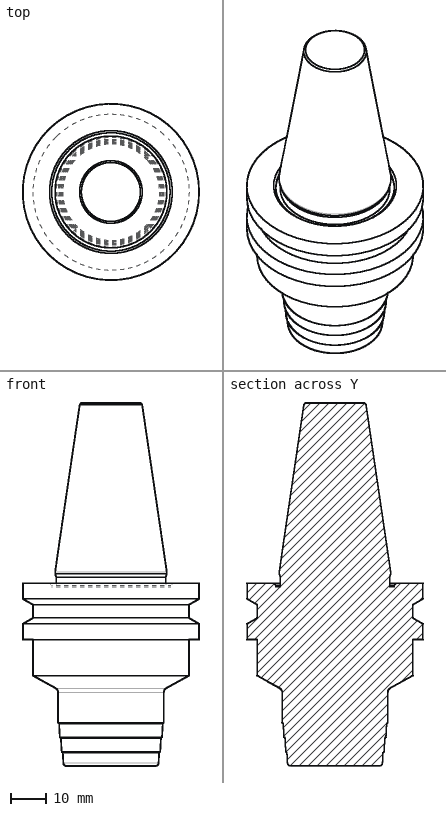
import cadquery as cq
import math

total_height = 102.8
flange_bottom = 35.8
flange_top = 51.8
gauge_height = 54.4
collar_bottom = 21.7
shoulder_bottom = 25.6

gauge_radius = 15.8
gauge_band = 0.6
taper_slope = 7 / 48
tip_chamfer = 0.5
neck_radius = 15.5
neck_top = 53.5

flange_radius = 25.0
groove_root_radius = 22.1
groove_center = (flange_bottom + flange_top) / 2
groove_root_half_width = 1.9
groove_side_angle = 30
groove_side_height = (flange_radius - groove_root_radius) * math.tan(math.radians(groove_side_angle))
groove_mouth_half_width = groove_root_half_width + groove_side_height

relief_radius = 16.8
relief_depth = 1.0
relief_chamfer = 0.6

shoulder_radius = 22.1
nose_radius = 15.0
nose_fillet = 1.2
ring_height = 4.1
ring_count = 3
ring_step = 0.3
ring_taper = 0.2
nose_edge_radius = 1.0


def nose_points():
    """Outer profile of the nose rings, from the bottom edge upward."""
    points = []
    for ring in range(ring_count):
        top_radius = nose_radius - ring_step - ring * (ring_step + ring_taper)
        top = (ring_count - ring) * ring_height - ring_step
        bottom = top + ring_step - ring_height
        points.append((top_radius + ring_step, top + ring_step))
        points.append((top_radius, top))
    bottom_radius = top_radius - ring_taper
    points.append((bottom_radius, bottom))
    return points[::-1]


def make_body():
    """Revolve the whole holder about Z."""
    tip_radius = gauge_radius - taper_slope * (total_height - gauge_height - gauge_band)
    profile = [
        (0, 0),
        *nose_points(),
        (nose_radius, collar_bottom),
        (shoulder_radius, shoulder_bottom),
        (shoulder_radius, flange_bottom),
        (flange_radius, flange_bottom),
        (flange_radius, groove_center - groove_mouth_half_width),
        (groove_root_radius, groove_center - groove_root_half_width),
        (groove_root_radius, groove_center + groove_root_half_width),
        (flange_radius, groove_center + groove_mouth_half_width),
        (flange_radius, flange_top),
        (relief_radius + relief_chamfer, flange_top),
        (relief_radius, flange_top - relief_chamfer),
        (relief_radius, flange_top - relief_depth),
        (neck_radius, flange_top - relief_depth),
        (neck_radius, neck_top),
        (gauge_radius, gauge_height),
        (gauge_radius, gauge_height + gauge_band),
        (tip_radius, total_height - tip_chamfer),
        (tip_radius - tip_chamfer, total_height),
        (0, total_height),
    ]
    return cq.Workplane("XZ").polyline(profile).close().revolve(360, (0, 0, 0), (0, 1, 0))


def round_collar(body):
    """Fillet the inside corner where the nose meets the conical shoulder."""
    span = 0.1
    corner = cq.selectors.BoxSelector(
        (-flange_radius, -flange_radius, collar_bottom - span),
        (flange_radius, flange_radius, collar_bottom + span),
        boundingbox=True,
    )
    return body.edges(corner).fillet(nose_fillet)


def round_nose(body):
    """Round the outer edge of the nose face."""
    return body.faces("<Z").edges().fillet(nose_edge_radius)


result = round_nose(round_collar(make_body()))